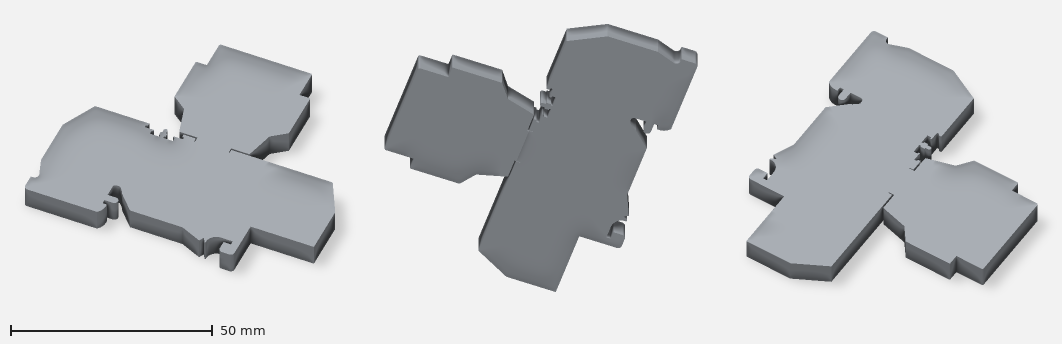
import cadquery as cq
import math

length = 74.0
body_thickness = 6.0
plug_thickness = 6.3
body_top = 33.0
plug_top = 65.0

shoulder_run = 4.7
shoulder_y = 23.9
right_end_y = 10.9
rail_seat_y = 3.8

hook_round = 0.95
hook_lip_y = 3.3
hook_gap_y = 4.45
left_hook_x = 20.0
left_lip_x = 21.2
toe_round = 3.5
toe_end_y = 2.7
pin_tip_x = 23.2
pin_top = 6.45
pin_round = (pin_top - hook_gap_y) / 2
left_gap_top = 10.3
left_gap_round = 0.75
left_gap_bulge_start_x = 21.6
left_gap_bulge_middle = (22.6, 9.2)
left_gap_bulge_end = (23.2, 8.1)
left_gap_slope_x = 27.2
tooth_slope_x = 41.5
tooth_tip_x = 47.1
tooth_tip_y = 1.3
tooth_valley = (47.8, 2.7)
second_tooth_x = 48.55
spring_x = 48.85
spring_round = 2.9
spring_center_x = 51.65
right_lip_x = 52.8
right_gap_x = 54.8
right_hook_x = 56.8

notch_top = 10.65
notch_depth = 2.15
notch_round = 1.1

clip_x = 24.1
clip_mouth_half = 4.65
clip_groove_half = 5.2
clip_throat_half = 2.7
clip_floor_half = 3.1
clip_ledge_y = 31.45
clip_floor_y = 29.9
clip_throat_y = 31.15
clip_pocket_y = 30.9
clip_groove_y = 32.05
clip_mouth_y = 32.3

post_half = 0.5
barb_half = 0.9
barb_bottom = 30.4
barb_top = 31.6

plug_x = 36.9
neck_half = 4.6
neck_slit_width = 0.2
neck_slit_bottom = 31.9
plug_bottom = 33.45
plug_waist_half = 9.55
plug_jaw_half = 11.6
plug_jaw_y = 41.1
plug_half = 15.55
plug_slope_y = 44.0
plug_step_y = 57.1
plug_head_half = 12.6
plug_head_round = 0.45
plug_corner_round = 0.2

pick_reach = 0.04


def point_on_circle(center, radius, degrees):
    """Point on a circle at an angle measured from +X."""
    angle = math.radians(degrees)
    return (center[0] + radius * math.cos(angle), center[1] + radius * math.sin(angle))


def round_corner(solid, x, y, radius):
    """Round the upright edge that passes through (x, y)."""
    box = cq.selectors.BoxSelector(
        (x - pick_reach, y - pick_reach, -length), (x + pick_reach, y + pick_reach, length)
    )
    return solid.edges("|Z").edges(box).fillet(radius)


def make_body():
    toe_center = (left_lip_x - toe_round, toe_end_y)
    toe_angle = math.degrees(math.asin(toe_end_y / toe_round))
    toe_start = point_on_circle(toe_center, toe_round, -toe_angle)
    toe_middle = point_on_circle(toe_center, toe_round, -toe_angle / 2)

    spring_center = (spring_center_x, hook_gap_y - spring_round)
    spring_middle = point_on_circle(spring_center, spring_round, 135)

    outline = (
        cq.Workplane("XY")
        .moveTo(0, 0)
        .lineTo(*toe_start)
        .threePointArc(toe_middle, (left_lip_x, toe_end_y))
        .lineTo(left_lip_x, hook_lip_y)
        .lineTo(left_hook_x, hook_lip_y)
        .lineTo(left_hook_x, hook_gap_y)
        .lineTo(pin_tip_x - pin_round, hook_gap_y)
        .threePointArc((pin_tip_x, hook_gap_y + pin_round), (pin_tip_x - pin_round, pin_top))
        .lineTo(left_hook_x, pin_top)
        .lineTo(left_hook_x, left_gap_top)
        .lineTo(left_gap_bulge_start_x, left_gap_top)
        .threePointArc(left_gap_bulge_middle, left_gap_bulge_end)
        .lineTo(left_gap_slope_x, rail_seat_y)
        .lineTo(tooth_slope_x, rail_seat_y)
        .lineTo(tooth_tip_x, tooth_tip_y)
        .lineTo(*tooth_valley)
        .lineTo(second_tooth_x, tooth_tip_y)
        .lineTo(spring_x, tooth_tip_y)
        .threePointArc(spring_middle, (spring_center[0], hook_gap_y))
        .lineTo(right_gap_x, hook_gap_y)
        .lineTo(right_gap_x, hook_lip_y)
        .lineTo(right_lip_x, hook_lip_y)
        .lineTo(right_lip_x, 0)
        .lineTo(right_hook_x, 0)
        .lineTo(right_hook_x, right_end_y)
        .lineTo(length, right_end_y)
        .lineTo(length, shoulder_y)
        .lineTo(length - shoulder_run, body_top)
        .lineTo(shoulder_run, body_top)
        .lineTo(0, shoulder_y)
        .lineTo(0, notch_top)
        .lineTo(notch_depth, hook_gap_y)
        .lineTo(0, hook_gap_y)
        .close()
    )
    body = outline.extrude(body_thickness)
    for x in (0, right_lip_x, right_hook_x):
        body = round_corner(body, x, 0, hook_round)
    body = round_corner(body, left_hook_x, left_gap_top, left_gap_round)
    return round_corner(body, notch_depth, hook_gap_y, notch_round)


def mirrored_prism(center_x, right_side, bottom, height):
    """Prism whose outline is a right-hand chain of points plus its mirror image."""
    right = [(center_x + half, y) for half, y in right_side]
    left = [(center_x - half, y) for half, y in reversed(right_side)]
    return cq.Workplane("XY", origin=(0, 0, bottom)).polyline(right + left).close().extrude(height)


def make_clip_recess():
    right_side = [
        (clip_floor_half, clip_floor_y),
        (clip_floor_half, clip_pocket_y),
        (clip_throat_half, clip_throat_y),
        (clip_throat_half, clip_ledge_y),
        (clip_groove_half, clip_ledge_y),
        (clip_groove_half, clip_groove_y),
        (clip_mouth_half, clip_mouth_y),
        (clip_mouth_half, body_top),
    ]
    return mirrored_prism(clip_x, right_side, 0, body_thickness)


def make_post():
    tip_y = body_top - post_half
    right_side = [
        (post_half, clip_floor_y),
        (post_half, barb_bottom),
        (barb_half, barb_bottom),
        (barb_half, barb_top),
        (post_half, barb_top),
        (post_half, tip_y),
    ]
    post = mirrored_prism(clip_x, right_side, 0, body_thickness)
    tip = cq.Workplane("XY").center(clip_x, tip_y).circle(post_half).extrude(body_thickness)
    return post.union(tip)


def make_plug():
    rounded_corners = [
        (plug_waist_half, plug_bottom),
        (plug_jaw_half, plug_jaw_y),
        (plug_half, plug_slope_y),
        (plug_half, plug_step_y),
    ]
    right_side = [
        (neck_half, body_top),
        (neck_half, plug_bottom),
        *rounded_corners,
        (plug_head_half, plug_step_y),
        (plug_head_half, plug_top),
    ]
    plug = mirrored_prism(plug_x, right_side, body_thickness - plug_thickness, plug_thickness)
    for side in (-1, 1):
        for half, y in rounded_corners:
            plug = round_corner(plug, plug_x + side * half, y, plug_corner_round)
        plug = round_corner(plug, plug_x + side * plug_head_half, plug_top, plug_head_round)
    return plug


def make_neck_slits():
    depth = body_top - neck_slit_bottom
    offset = neck_half + neck_slit_width / 2
    return (
        cq.Workplane("XY")
        .pushPoints([(plug_x + side * offset, body_top - depth / 2) for side in (-1, 1)])
        .rect(neck_slit_width, depth)
        .extrude(body_thickness)
    )


result = make_body().cut(make_clip_recess()).cut(make_neck_slits()).union(make_post()).union(make_plug())